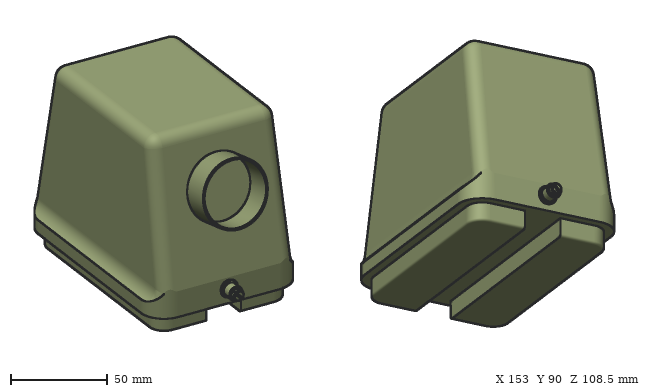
import cadquery as cq
import math

overall_length = 153.0
overall_height = 108.5

collar_length = 132.2
collar_width = 90.0
collar_corner_radius = 14.0
collar_bottom = 10.4
ledge_height = 17.3
cove_radius = 9.2

hood_width = 81.0
end_wall_start = 25.4
end_wall_angle = 11.0
side_wall_angle = 1.5
hood_edge_radius = 7.2

skirt_length = 121.5
skirt_width = 79.5
skirt_corner_radius = 9.0
skirt_edge_radius = 1.4
skirt_slot_width = 21.0

tube_diameter = 39.0
tube_bore_diameter = 37.0
tube_length = 16.4
tube_face_x = 72.7
tube_face_z = 77.3

pin_height = 19.1
pin_flange_diameter = 10.0
pin_flange_length = 0.8
pin_flange_taper = 0.6
pin_diameter = 8.0
pin_end_diameter = 7.3
pin_end_taper = 0.5
pin_tip_diameter = 6.1
pin_tip_length = 2.9
pin_tip_chamfer = 0.5
pin_slot_width = 0.9
pin_slot_depth = 0.8
pin_slot_angle = 45.0

overlap = 1.5


def rounded_prism(length, width, radius, bottom, top):
    """Vertical block with rounded corners, centred on the Z axis."""
    block = cq.Workplane("XY").workplane(offset=bottom).rect(length, width).extrude(top - bottom)
    return block.edges("|Z").fillet(radius)


def make_hood():
    """Tapered body with leaning end walls and slightly drafted sides."""
    end_draft = math.tan(math.radians(end_wall_angle))
    half_length_bottom = collar_length / 2 + (end_wall_start - collar_bottom) * end_draft
    half_length_top = collar_length / 2 - (overall_height - end_wall_start) * end_draft
    side_draft = math.tan(math.radians(side_wall_angle))
    half_width_bottom = hood_width / 2 + (ledge_height - collar_bottom) * side_draft
    half_width_top = hood_width / 2 - (overall_height - ledge_height) * side_draft

    end_profile = (
        cq.Workplane("XZ")
        .polyline([
            (-half_length_bottom, collar_bottom),
            (half_length_bottom, collar_bottom),
            (half_length_top, overall_height),
            (-half_length_top, overall_height),
        ])
        .close()
        .extrude(collar_width / 2, both=True)
    )
    side_profile = (
        cq.Workplane("YZ")
        .polyline([
            (-half_width_bottom, collar_bottom),
            (half_width_bottom, collar_bottom),
            (half_width_top, overall_height),
            (-half_width_top, overall_height),
        ])
        .close()
        .extrude(half_length_bottom, both=True)
    )
    hood = end_profile.intersect(side_profile)
    return hood.edges("not <Z").fillet(hood_edge_radius)


def make_hooded_collar():
    """Hood on its collar: a cove sweeps around the foot of the hood and is cut off by the collar outline."""
    base = (
        cq.Workplane("XY")
        .workplane(offset=collar_bottom)
        .rect(collar_length + 4 * cove_radius, collar_width + 4 * cove_radius)
        .extrude(ledge_height - collar_bottom)
    )
    foot = cq.selectors.BoxSelector(
        (-collar_length / 2 - cove_radius, -collar_width / 2, ledge_height - overlap / 2),
        (collar_length / 2 + cove_radius, collar_width / 2, ledge_height + overlap / 2),
    )
    coved = base.union(make_hood()).edges(foot).fillet(cove_radius)
    outline = rounded_prism(collar_length, collar_width, collar_corner_radius, collar_bottom, overall_height)
    return coved.intersect(outline)


def make_skirt():
    """Rim below the collar, slotted along X through both ends."""
    skirt = rounded_prism(
        skirt_length, skirt_width, skirt_corner_radius, 0, collar_bottom + overlap
    )
    skirt = skirt.faces("<Z").edges().fillet(skirt_edge_radius)
    slot = cq.Workplane("XY").rect(skirt_length, skirt_slot_width).extrude(collar_bottom)
    return skirt.cut(slot)


def tube_cylinder(diameter, length):
    """Cylinder running from the open tube face back toward the hood."""
    angle = math.radians(end_wall_angle)
    inward = cq.Vector(-math.cos(angle), 0, -math.sin(angle))
    face_centre = cq.Vector(tube_face_x, 0, tube_face_z)
    return cq.Workplane(cq.Solid.makeCylinder(diameter / 2, length, face_centre, inward))


def make_pin():
    """Stepped pin on the -X end with a screwdriver slot in its tip."""
    wall = -collar_length / 2
    tip = -overall_length / 2
    shoulder = tip + pin_tip_length
    flange = wall - pin_flange_length
    pin = (
        cq.Workplane("XZ")
        .polyline([
            (wall + overlap, 0),
            (wall + overlap, pin_flange_diameter / 2),
            (flange, pin_flange_diameter / 2),
            (flange - pin_flange_taper, pin_diameter / 2),
            (shoulder + pin_end_taper, pin_diameter / 2),
            (shoulder, pin_end_diameter / 2),
            (shoulder, pin_tip_diameter / 2),
            (tip + pin_tip_chamfer, pin_tip_diameter / 2),
            (tip, pin_tip_diameter / 2 - pin_tip_chamfer),
            (tip, 0),
        ])
        .close()
        .revolve(360, (0, 0, 0), (1, 0, 0))
    )
    slot = (
        cq.Workplane("YZ", origin=(tip, 0, 0))
        .transformed(rotate=(0, 0, pin_slot_angle))
        .rect(pin_tip_diameter, pin_slot_width)
        .extrude(pin_slot_depth)
    )
    return pin.cut(slot).translate((0, 0, pin_height))


body = make_hooded_collar().union(make_skirt())

body = body.union(tube_cylinder(tube_diameter, tube_length + overlap))
body = body.cut(tube_cylinder(tube_bore_diameter, tube_length))

pin = make_pin()
for turn in (0, 180):
    body = body.union(pin.rotate((0, 0, 0), (0, 0, 1), turn))

result = body